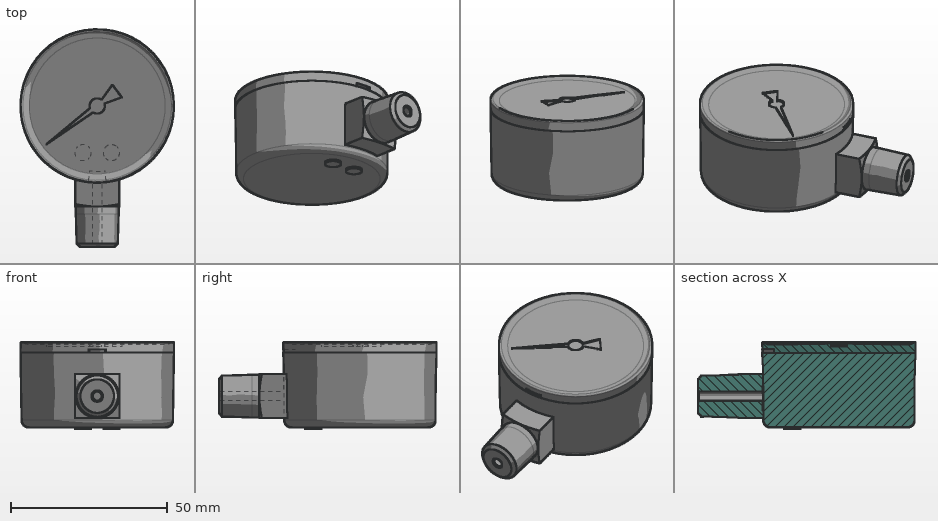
import cadquery as cq
import math


OVERALL_LENGTH = 69.5

CASE_DIAMETER = 49.0
CASE_RADIUS = CASE_DIAMETER / 2
CASE_FLOOR_RADIUS = 24.2
CASE_HEIGHT = 23.9
CASE_ROUNDING = 2.35
FOOT_RADIUS = 2.6
FOOT_HEIGHT = 0.55
FOOT_X = 4.5
FOOT_Y = -14.9

LENS_HEIGHT = 3.35
RIM_ROUNDING = 0.5
RIM_INNER_RADIUS = 23.7
WINDOW_RADIUS = 21.7
WINDOW_DEPTH = 0.75
WINDOW_RISE = 0.35
NOTCH_HALF_WIDTH = 2.85
NOTCH_HEIGHT = 1.05
NOTCH_INNER_RADIUS = 20.85

POINTER_ANGLE = 37.0
HUB_RADIUS = 2.4
TIP_LENGTH = 20.3
NEEDLE_HALF_WIDTH = 0.8
TAIL_LENGTH = 7.9
TAIL_HALF_WIDTH = 2.5
TAIL_NECK_HALF_WIDTH = 0.75
POINTER_SINK = 0.4
POINTER_THICKNESS = 0.55

SOCKET_Z = 10.0
SOCKET_END = OVERALL_LENGTH - CASE_RADIUS
BLOCK_WIDTH = 14.1
BLOCK_END = 32.1
BLOCK_CORNER_DROP = 0.8
NECK_RADIUS = 6.9
THREAD_START = 34.5
THREAD_END = 43.9
THREAD_END_RADIUS = 6.6
TIP_RADIUS = 5.35
BORE_RADIUS = 1.45
BORE_CHAMFER = 0.35

LENS_TOP = CASE_HEIGHT + LENS_HEIGHT
WINDOW_EDGE_Z = LENS_TOP - WINDOW_DEPTH
POINTER_TOP = WINDOW_EDGE_Z + WINDOW_RISE - POINTER_SINK
POINTER_BOTTOM = POINTER_TOP - POINTER_THICKNESS
COS_45 = math.sqrt(0.5)


def make_case_drum():
    """Solid drum with a slightly tapered wall and a rounded bottom edge."""
    flat_radius = CASE_FLOOR_RADIUS - CASE_ROUNDING
    arc_middle = (flat_radius + CASE_ROUNDING * COS_45, CASE_ROUNDING * (1 - COS_45))
    return (
        cq.Workplane("XZ")
        .lineTo(flat_radius, 0)
        .threePointArc(arc_middle, (CASE_FLOOR_RADIUS, CASE_ROUNDING))
        .lineTo(CASE_RADIUS, CASE_HEIGHT)
        .lineTo(0, CASE_HEIGHT)
        .close()
        .revolve(360, (0, 0), (0, 1))
    )


def make_case():
    """Drum with two round feet under its floor."""
    feet = (
        cq.Workplane("XY")
        .pushPoints([(-FOOT_X, FOOT_Y), (FOOT_X, FOOT_Y)])
        .circle(FOOT_RADIUS)
        .extrude(-FOOT_HEIGHT)
    )
    return make_case_drum().union(feet)


def make_pointer_shape(bottom, top):
    """Prism with the pointer outline: hub, thin needle and flared tail."""
    height = top - bottom
    needle_root = -math.sqrt(HUB_RADIUS**2 - NEEDLE_HALF_WIDTH**2)
    tail_root = math.sqrt(HUB_RADIUS**2 - TAIL_NECK_HALF_WIDTH**2)
    blade = (
        cq.Workplane("XY", origin=(0, 0, bottom))
        .moveTo(-TIP_LENGTH, 0)
        .lineTo(needle_root, -NEEDLE_HALF_WIDTH)
        .lineTo(tail_root, -TAIL_NECK_HALF_WIDTH)
        .lineTo(TAIL_LENGTH, -TAIL_HALF_WIDTH)
        .lineTo(TAIL_LENGTH, TAIL_HALF_WIDTH)
        .lineTo(tail_root, TAIL_NECK_HALF_WIDTH)
        .lineTo(needle_root, NEEDLE_HALF_WIDTH)
        .close()
        .extrude(height)
    )
    hub = cq.Workplane("XY", origin=(0, 0, bottom)).circle(HUB_RADIUS).extrude(height)
    return blade.union(hub).rotate((0, 0, 0), (0, 0, 1), POINTER_ANGLE)


def make_lens_disc():
    """Disc with a rounded rim, a hollow flank and a slightly domed window."""
    crest_radius = CASE_RADIUS - RIM_ROUNDING
    crest_offset = crest_radius - RIM_INNER_RADIUS
    rim_inner_z = LENS_TOP - RIM_ROUNDING + math.sqrt(RIM_ROUNDING**2 - crest_offset**2)
    flank_run = RIM_INNER_RADIUS - WINDOW_RADIUS
    flank_drop = rim_inner_z - WINDOW_EDGE_Z
    flank_radius = (flank_run**2 + flank_drop**2) / (2 * flank_drop)
    half_run = flank_run / 2
    flank_middle = (WINDOW_RADIUS + half_run,
                    WINDOW_EDGE_Z + flank_radius - math.sqrt(flank_radius**2 - half_run**2))
    dome_radius = (WINDOW_RADIUS**2 + WINDOW_RISE**2) / (2 * WINDOW_RISE)
    half_way = WINDOW_RADIUS / 2
    dome_top = WINDOW_EDGE_Z + WINDOW_RISE
    dome_middle = (half_way, dome_top - dome_radius + math.sqrt(dome_radius**2 - half_way**2))
    return (
        cq.Workplane("XZ")
        .moveTo(0, CASE_HEIGHT)
        .lineTo(CASE_RADIUS, CASE_HEIGHT)
        .lineTo(CASE_RADIUS, LENS_TOP - RIM_ROUNDING)
        .threePointArc((crest_radius, LENS_TOP), (RIM_INNER_RADIUS, rim_inner_z))
        .threePointArc(flank_middle, (WINDOW_RADIUS, WINDOW_EDGE_Z))
        .threePointArc(dome_middle, (0, dome_top))
        .close()
        .revolve(360, (0, 0), (0, 1))
    )


def make_notch():
    """Opening slot with radial sides, under the lens rim on the socket side."""
    half_angle = math.asin(NOTCH_HALF_WIDTH / CASE_RADIUS)
    overshoot = 0.7
    outer_radius = CASE_RADIUS + overshoot
    outer_x = outer_radius * math.tan(half_angle)
    sector = (
        cq.Workplane("XY", origin=(0, 0, CASE_HEIGHT))
        .lineTo(-outer_x, -outer_radius)
        .lineTo(outer_x, -outer_radius)
        .close()
        .extrude(NOTCH_HEIGHT)
    )
    core = cq.Workplane("XY", origin=(0, 0, CASE_HEIGHT)).circle(NOTCH_INNER_RADIUS).extrude(NOTCH_HEIGHT)
    return sector.cut(core)


def make_lens():
    """Lens with its opening notch and a pocket for the pointer."""
    pocket = make_pointer_shape(POINTER_BOTTOM, LENS_TOP)
    return make_lens_disc().cut(make_notch()).cut(pocket)


def revolve_about_socket_axis(points):
    """Solid of revolution from (radius, distance from the case axis) points."""
    return (
        cq.Workplane("XY", origin=(0, 0, SOCKET_Z))
        .polyline([(radius, -distance) for radius, distance in points])
        .close()
        .revolve(360, (0, 0), (0, 1))
    )


def make_socket_block():
    """Square block whose free end is faced to a flat cone."""
    half_width = BLOCK_WIDTH / 2
    corner_radius = half_width * math.sqrt(2)
    block = (
        cq.Workplane("XZ", origin=(0, 0, SOCKET_Z))
        .rect(BLOCK_WIDTH, BLOCK_WIDTH)
        .extrude(BLOCK_END)
    )
    facing = revolve_about_socket_axis([
        (0, 0),
        (corner_radius, 0),
        (corner_radius, BLOCK_END - BLOCK_CORNER_DROP),
        (NECK_RADIUS, BLOCK_END),
        (0, BLOCK_END),
    ])
    return block.intersect(facing)


def make_socket():
    """Block and tapered thread stub, bored through and fitted to the case wall."""
    stub = revolve_about_socket_axis([
        (0, 0),
        (NECK_RADIUS, 0),
        (NECK_RADIUS, THREAD_START),
        (THREAD_END_RADIUS, THREAD_END),
        (TIP_RADIUS, SOCKET_END),
        (0, SOCKET_END),
    ])
    bore = revolve_about_socket_axis([
        (0, 0),
        (BORE_RADIUS, 0),
        (BORE_RADIUS, SOCKET_END - BORE_CHAMFER),
        (BORE_RADIUS + BORE_CHAMFER, SOCKET_END),
        (0, SOCKET_END),
    ])
    return make_socket_block().union(stub).cut(make_case_drum()).cut(bore)


case = make_case()
lens = make_lens()
pointer = make_pointer_shape(POINTER_BOTTOM, POINTER_TOP)
socket = make_socket()

result = cq.Compound.makeCompound([case.val(), lens.val(), pointer.val(), socket.val()])